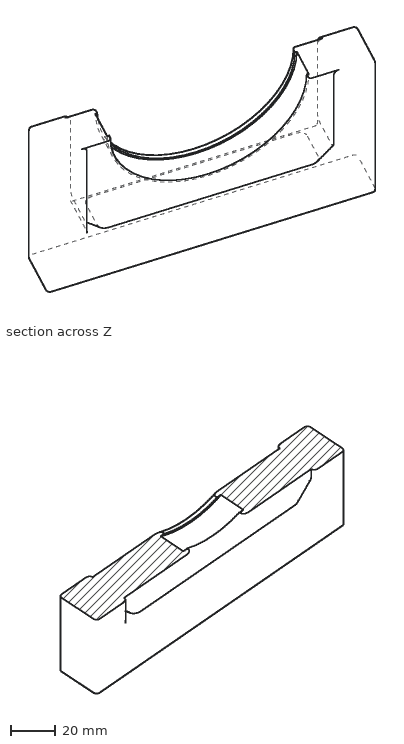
import cadquery as cq

thickness = 24.0
length = 160.0
height = 90.0
web_thickness = 20.0
outer_round = (thickness - web_thickness) / 2

arm_width = 20.0
floor_height = 30.0
opening_width = length - 2 * arm_width
opening_round = 2.4
opening_corner_round = outer_round

window_leg = 6.2
window_round = 3.0

seat_radius = 48.0
seat_round = 1.5
groove_radius = seat_radius + 1.0
groove_width = 14.0

overlap = 4.0


def seat_cylinder(radius, width):
    """Cylinder along X on the axis of the seat."""
    start = cq.Workplane("YZ").workplane(offset=-width / 2)
    return start.center(0, height).circle(radius).extrude(width)


def make_frame():
    """U-shaped frame with rounded outer edges and rounded opening rims."""
    block = cq.Workplane("XY").box(thickness, length, height, centered=(True, True, False))
    block = block.edges("|Z or >Z").fillet(outer_round)
    opening = cq.Workplane("XY").workplane(offset=floor_height).box(
        thickness, opening_width, height, centered=(True, True, False)
    )
    frame = block.cut(opening)

    opening_box = cq.selectors.BoxSelector(
        (-thickness, -opening_width / 2 - outer_round, floor_height - outer_round),
        (thickness, opening_width / 2 + outer_round, height - outer_round),
    )
    rims = frame.edges(opening_box).edges("<X or >X").vals()
    frame = frame.newObject(rims).fillet(opening_round)
    corners = frame.edges(opening_box).edges("|X").edges("<Z").vals()
    return frame.newObject(corners).fillet(opening_corner_round)


def make_web():
    """Thin web with cut-off lower corners, whose slanted edges are rounded."""
    side = opening_width / 2 + overlap
    bottom = floor_height - overlap
    cut_leg = window_leg + 2 * overlap
    web = (
        cq.Workplane("YZ")
        .workplane(offset=-web_thickness / 2)
        .moveTo(-side, height)
        .lineTo(-side, bottom + cut_leg)
        .lineTo(-side + cut_leg, bottom)
        .lineTo(side - cut_leg, bottom)
        .lineTo(side, bottom + cut_leg)
        .lineTo(side, height)
        .close()
        .extrude(web_thickness)
    )
    return web.edges("not(|X or |Y or |Z)").fillet(window_round)


def cut_seat(body):
    """Cut the half-round seat, round its rims and turn the groove inside it."""
    body = body.cut(seat_cylinder(seat_radius, thickness))
    rims = body.edges("%CIRCLE").edges(cq.selectors.RadiusNthSelector(-1)).vals()
    body = body.newObject(rims).fillet(seat_round)
    return body.cut(seat_cylinder(groove_radius, groove_width))


result = cut_seat(make_frame().union(make_web()))